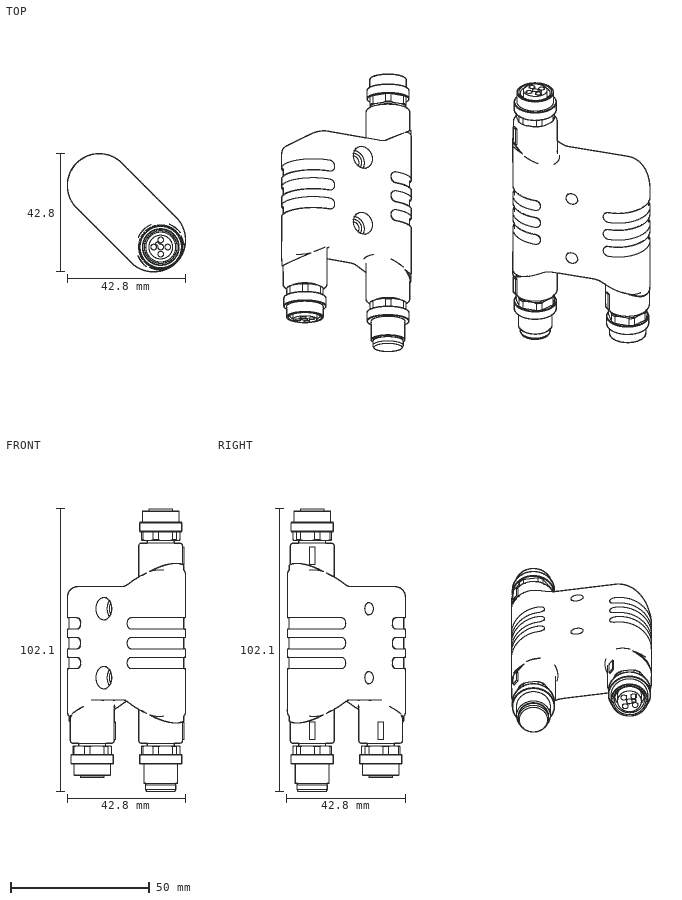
import cadquery as cq
import math

OUTER_WIDTH = 42.8
TURN_ANGLE = -45

BODY_RADIUS = 11.5
END_OFFSET = (OUTER_WIDTH / 2 - BODY_RADIUS) * math.sqrt(2)
BODY_HALF_LENGTH = END_OFFSET + BODY_RADIUS
BODY_HALF_HEIGHT = 20.5
SHOULDER_START = 8.1
SHOULDER_ANGLE = math.radians(27.5)
SHOULDER_BLEND = 5.8
BODY_EDGE_FILLET = 1.6
CORNER_RADIUS = 11.2
PROFILE_OVERSHOOT = 0.1

GROOVE_COUNT = 3
GROOVE_PITCH = 7.1
GROOVE_HEIGHT = 4.1
GROOVE_DEPTH = 0.6
GROOVE_FLOOR_FILLET = 0.3

HOLE_SPACING = 24.9
HOLE_DIAMETER = 4.4
COUNTERBORE_DIAMETER = 8.1
COUNTERBORE_DEPTH = 5.7
SEAT_DIAMETER = 5.8

SLEEVE_RADIUS = 8.0
SLEEVE_END = 36.1
SLEEVE_FILLET = 1.0
SLEEVE_ROOT_FILLET = 1.0
SLEEVE_INSET = 0.05
ROOT_REACH = 0.8
LIP_WIDTH = 0.4
SLEEVE_OFFSET = BODY_HALF_LENGTH - SLEEVE_RADIUS
MARK_WIDTH = 2.0
MARK_HEIGHT = 6.3
MARK_END = 34.8
MARK_PROUD = 0.5
MARK_DIRECTION = 45

NECK_RADIUS = 4.9
NECK_LENGTH = 0.9
HEX_ACROSS_FLATS = 13.1
HEX_CORNER_RADIUS = 7.0
HEX_LENGTH = 3.2
HEX_TURN = 30
HEX_CHAMFER = 0.3
COLLAR_RADIUS = 7.7
COLLAR_LENGTH = 3.5
COLLAR_CHAMFER = 0.2
COLLAR_END = NECK_LENGTH + HEX_LENGTH + COLLAR_LENGTH

SOCKET_RADIUS = 6.6
SOCKET_END = 11.6
SOCKET_BORE_RADIUS = 5.4
SOCKET_BORE_DEPTH = 4.1
SOCKET_CHAMFER = 0.2
SOCKET_MOUTH_CHAMFER = 0.5
INSERT_RADIUS = 4.3
INSERT_END = 12.4
SEAL_RADIUS = (SOCKET_BORE_RADIUS - INSERT_RADIUS) / 2
OUTER_CONTACT_COUNT = 4
CONTACT_RADIUS = 1.0
CONTACT_CIRCLE_RADIUS = 2.6
CONTACT_DEPTH = 4.1
KEY_WIDTH = 1.0
KEY_LENGTH = 2.2

PLUG_RADIUS = 6.1
PLUG_SHOULDER = 14.5
PLUG_TIP_RADIUS = 5.5
PLUG_RELIEF_RADIUS = 5.4
PLUG_RELIEF_LENGTH = 0.5
PLUG_END = 17.5
PLUG_CHAMFER_LENGTH = 0.8
PLUG_CHAMFER_WIDTH = 0.4


def cylinder(radius, start, end):
    return cq.Workplane("XY").workplane(offset=start).circle(radius).extrude(end - start)


def stadium(radius):
    """Block over the full body height, rounded about the two end axes."""
    tall = BODY_HALF_HEIGHT + BODY_RADIUS
    block = cq.Workplane("XY").slot2D(2 * (END_OFFSET + radius), 2 * radius)
    return block.extrude(tall, both=True)


def side_profile():
    """Outline of the body seen square to its flat faces."""
    flat = BODY_HALF_HEIGHT
    end = BODY_HALF_LENGTH + PROFILE_OVERSHOOT
    blend_x = SHOULDER_START + SHOULDER_BLEND * math.sin(SHOULDER_ANGLE)
    blend_z = flat + SHOULDER_BLEND * (1 - math.cos(SHOULDER_ANGLE))
    mid_x = SHOULDER_START + SHOULDER_BLEND * math.sin(SHOULDER_ANGLE / 2)
    mid_z = flat + SHOULDER_BLEND * (1 - math.cos(SHOULDER_ANGLE / 2))
    tip_z = blend_z + (end - blend_x) * math.tan(SHOULDER_ANGLE)
    corner = CORNER_RADIUS
    corner_mid = corner * (1 - math.sqrt(0.5))
    return (
        cq.Workplane("XZ")
        .moveTo(-end, -tip_z)
        .lineTo(-blend_x, -blend_z)
        .threePointArc((-mid_x, -mid_z), (-SHOULDER_START, -flat))
        .lineTo(SHOULDER_START, -flat)
        .threePointArc((mid_x, -mid_z), (blend_x, -blend_z))
        .lineTo(end, -tip_z)
        .lineTo(end, tip_z)
        .lineTo(blend_x, blend_z)
        .threePointArc((mid_x, mid_z), (SHOULDER_START, flat))
        .lineTo(-end + corner, flat)
        .threePointArc((-end + corner_mid, flat - corner_mid), (-end, flat - corner))
        .close()
    )


def sharp_body():
    profile = side_profile().extrude(2 * BODY_RADIUS, both=True)
    return profile.intersect(stadium(BODY_RADIUS))


def body():
    rim = sharp_body().edges("not |Y").edges("not |Z")
    return rim.fillet(BODY_EDGE_FILLET)


def grip_groove_cutter(height):
    """Ring just under the end surfaces, with round run-outs on the flat faces."""
    ring = stadium(BODY_RADIUS + GROOVE_DEPTH).cut(stadium(BODY_RADIUS - GROOVE_DEPTH))
    band_length = 4 * BODY_RADIUS
    band_centre = END_OFFSET - GROOVE_HEIGHT / 2 + band_length / 2
    bands = (
        cq.Workplane("XZ")
        .pushPoints([(-band_centre, height), (band_centre, height)])
        .slot2D(band_length, GROOVE_HEIGHT)
        .extrude(2 * BODY_RADIUS, both=True)
    )
    inset = BODY_RADIUS - GROOVE_DEPTH + GROOVE_FLOOR_FILLET / 2
    floor_zone = cq.selectors.BoxSelector(
        (-END_OFFSET - inset, -inset, -BODY_HALF_HEIGHT),
        (END_OFFSET + inset, inset, BODY_HALF_HEIGHT),
        boundingbox=True,
    )
    return ring.intersect(bands).edges(floor_zone).fillet(GROOVE_FLOOR_FILLET)


def mounting_hole_cutter(height):
    """Stepped hole entered from the -Y face, with a conical seat at the step."""
    bore_radius = HOLE_DIAMETER / 2
    seat_radius = SEAT_DIAMETER / 2
    step_y = -BODY_RADIUS + COUNTERBORE_DEPTH
    seat_y = step_y + seat_radius - bore_radius
    half_section = (
        cq.Workplane("XY")
        .moveTo(0, -BODY_RADIUS)
        .lineTo(COUNTERBORE_DIAMETER / 2, -BODY_RADIUS)
        .lineTo(COUNTERBORE_DIAMETER / 2, step_y)
        .lineTo(seat_radius, step_y)
        .lineTo(bore_radius, seat_y)
        .lineTo(bore_radius, BODY_RADIUS)
        .lineTo(0, BODY_RADIUS)
        .close()
    )
    return half_section.revolve(360, (0, 0, 0), (0, 1, 0)).translate((0, 0, height))


def rooted_sleeve(block):
    """Upper right sleeve of the given body, with its blended root.

    A narrow sharp-rimmed lip beside the sleeve lets the rounded rim of the body
    run out to a point where sleeve and body end meet.
    """
    axis_x = SLEEVE_OFFSET - SLEEVE_INSET
    tube = cylinder(SLEEVE_RADIUS, 0, SLEEVE_END).faces(">Z").edges().fillet(SLEEVE_FILLET)
    tube = tube.translate((axis_x, 0, 0))
    half_width = SLEEVE_RADIUS - SLEEVE_ROOT_FILLET
    root_zone = cq.selectors.BoxSelector(
        (axis_x - SLEEVE_RADIUS, -half_width, BODY_HALF_HEIGHT),
        (axis_x + SLEEVE_RADIUS, half_width, SLEEVE_END - 2 * SLEEVE_FILLET),
    )
    rooted = block.union(tube)
    rooted = rooted.edges(root_zone).fillet(SLEEVE_ROOT_FILLET)
    surround = cylinder(SLEEVE_RADIUS + ROOT_REACH, 0, SLEEVE_END).translate((axis_x, 0, 0))
    lip_zone = cylinder(SLEEVE_RADIUS + LIP_WIDTH, 0, SLEEVE_END).translate((axis_x, 0, 0))
    return rooted.intersect(surround).union(sharp_body().intersect(lip_zone))


def sleeve_mark():
    """Small raised key mark on the side of a sleeve."""
    reach = SLEEVE_RADIUS + MARK_PROUD
    mark = cq.Workplane("XY").box(reach, MARK_WIDTH, MARK_HEIGHT, centered=(False, True, False))
    return mark.translate((0, 0, MARK_END - MARK_HEIGHT)).rotate((0, 0, 0), (0, 0, 1), MARK_DIRECTION)


def nut():
    """Neck, hexagon and collar, starting at height zero."""
    hex_end = NECK_LENGTH + HEX_LENGTH
    neck = cylinder(NECK_RADIUS, -SLEEVE_FILLET, NECK_LENGTH)
    hexagon = (
        cq.Workplane("XY")
        .workplane(offset=NECK_LENGTH)
        .polygon(6, HEX_ACROSS_FLATS, circumscribed=True)
        .extrude(HEX_LENGTH)
        .rotate((0, 0, 0), (0, 0, 1), HEX_TURN)
    )
    corner_limit = cylinder(HEX_CORNER_RADIUS, NECK_LENGTH, hex_end)
    corner_limit = corner_limit.faces("<Z").edges().chamfer(HEX_CHAMFER)
    collar = cylinder(COLLAR_RADIUS, hex_end, COLLAR_END).edges().chamfer(COLLAR_CHAMFER)
    return neck.union(hexagon.intersect(corner_limit)).union(collar)


def socket_connector():
    """Nut with a hollow barrel round a five-contact insert and its sealing ring."""
    bore_floor = SOCKET_END - SOCKET_BORE_DEPTH
    barrel = cylinder(SOCKET_RADIUS, COLLAR_END, SOCKET_END)
    barrel = barrel.faces(">Z").edges().chamfer(SOCKET_CHAMFER)
    bore = cylinder(SOCKET_BORE_RADIUS, bore_floor, SOCKET_END)
    shell = nut().union(barrel).cut(bore)
    mouth = cq.selectors.RadiusNthSelector(0)
    shell = shell.faces(">Z").edges(mouth).chamfer(SOCKET_MOUTH_CHAMFER)

    insert = cylinder(INSERT_RADIUS, bore_floor - SLEEVE_FILLET, INSERT_END)
    seal_circle_radius = INSERT_RADIUS + SEAL_RADIUS
    seal = (
        cq.Workplane("XZ")
        .center(seal_circle_radius, bore_floor)
        .circle(SEAL_RADIUS)
        .revolve(360, (-seal_circle_radius, 0, 0), (-seal_circle_radius, 1, 0))
    )
    contact_points = [(0, 0)]
    for index in range(OUTER_CONTACT_COUNT):
        angle = 2 * math.pi * (index + 0.5) / OUTER_CONTACT_COUNT
        contact_points.append((
            CONTACT_CIRCLE_RADIUS * math.cos(angle),
            CONTACT_CIRCLE_RADIUS * math.sin(angle),
        ))
    top = cq.Workplane("XY").workplane(offset=INSERT_END)
    contacts = top.pushPoints(contact_points).circle(CONTACT_RADIUS).extrude(-CONTACT_DEPTH)
    key = top.center(-KEY_LENGTH / 2, 0).rect(KEY_LENGTH, KEY_WIDTH).extrude(-CONTACT_DEPTH)
    return shell.union(insert).union(seal).cut(contacts).cut(key)


def plug_connector():
    """Nut with a stepped barrel and a shallow relief behind the tip."""
    barrel = cylinder(PLUG_RADIUS, COLLAR_END, PLUG_SHOULDER)
    tip = cylinder(PLUG_TIP_RADIUS, PLUG_SHOULDER, PLUG_END)
    tip = tip.faces(">Z").edges().chamfer(PLUG_CHAMFER_LENGTH, PLUG_CHAMFER_WIDTH)
    relief_end = PLUG_SHOULDER + PLUG_RELIEF_LENGTH
    relief = cylinder(PLUG_RADIUS, PLUG_SHOULDER, relief_end)
    relief = relief.cut(cylinder(PLUG_RELIEF_RADIUS, PLUG_SHOULDER, relief_end))
    return nut().union(barrel).union(tip.cut(relief))


def place(shape, side, upward):
    """Move an upward shape to one end of the body, pointing it up or down."""
    if not upward:
        shape = shape.mirror("XY")
    return shape.translate((side * SLEEVE_OFFSET, 0, 0))


outlets = [
    (-1, False, socket_connector()),
    (1, True, socket_connector()),
    (1, False, plug_connector()),
]

part = body()
right_sleeve = rooted_sleeve(part)
for side, upward, connector in outlets:
    outward_sleeve = right_sleeve if side > 0 else right_sleeve.mirror("YZ")
    part = part.union(outward_sleeve if upward else outward_sleeve.mirror("XY"))

for index in range(GROOVE_COUNT):
    groove_height = (index - (GROOVE_COUNT - 1) / 2) * GROOVE_PITCH
    part = part.cut(grip_groove_cutter(groove_height))

for hole_height in (-HOLE_SPACING / 2, HOLE_SPACING / 2):
    part = part.cut(mounting_hole_cutter(hole_height))

for side, upward, connector in outlets:
    part = part.union(place(sleeve_mark(), side, upward))
    part = part.union(place(connector.translate((0, 0, SLEEVE_END)), side, upward))

result = part.rotate((0, 0, 0), (0, 0, 1), TURN_ANGLE)